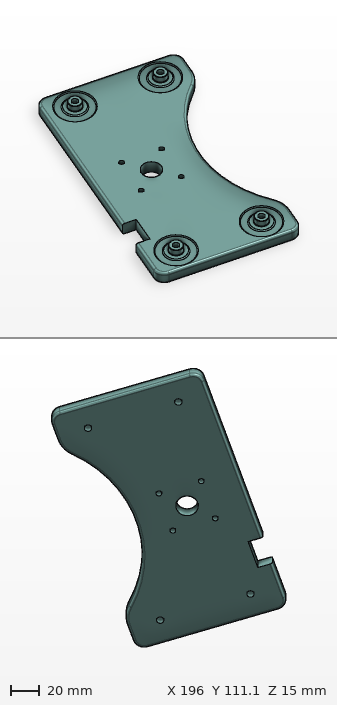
import cadquery as cq
import math

length = 196.0
width = 111.1
thickness = 10.0
corner_radius = 8.0
edge_radius = 2.0

shoulder_radius = 20.0
sweep_depth = 31.4
shoulder_start_x = 77.0

notch_left = 40.2
notch_width = 21.5
notch_depth = 10.8

bore_y = 42.1
bore_diameter = 15.5
screw_diameter = 4.0
screw_spacing = 31.0

post_spacing_x = 160.0
post_spacing_y = 66.0
front_post_y = 22.1
post_height = 5.0
post_foot_diameter = 11.2
post_foot_height = 0.4
post_diameter = 10.5
post_top_diameter = 10.0
post_hole_diameter = 5.0

groove_depth = 0.8
groove_outer_radius = 15.5
groove_outer_floor_radius = 14.7
groove_inner_radius = 8.6
groove_inner_floor_radius = 9.6

post_points = [
    (side * post_spacing_x / 2, y)
    for side in (-1, 1)
    for y in (front_post_y, front_post_y + post_spacing_y)
]


def make_plate():
    half = length / 2
    centre_distance = (shoulder_start_x**2 + sweep_depth**2) / (2 * sweep_depth)
    lean = math.asin(shoulder_start_x / centre_distance)
    shoulder_centre_y = width - shoulder_radius

    def shoulder_point(side, angle):
        x = shoulder_start_x - shoulder_radius * math.sin(angle)
        y = shoulder_centre_y + shoulder_radius * math.cos(angle)
        return side * x, y

    outline = (
        cq.Workplane("XY")
        .moveTo(-half, 0)
        .lineTo(half, 0)
        .lineTo(half, width)
        .lineTo(shoulder_start_x, width)
        .threePointArc(shoulder_point(1, lean / 2), shoulder_point(1, lean))
        .threePointArc((0, width - sweep_depth), shoulder_point(-1, lean))
        .threePointArc(shoulder_point(-1, lean / 2), (-shoulder_start_x, width))
        .lineTo(-half, width)
        .close()
    )
    plate = outline.extrude(thickness)
    corners = cq.selectors.BoxSelector((-half - 2, -2, -2), (-half + 2, width + 2, thickness + 2))
    corners += cq.selectors.BoxSelector((half - 2, -2, -2), (half + 2, width + 2, thickness + 2))
    plate = plate.edges("|Z").edges(corners).fillet(corner_radius)
    return plate.faces("<Z or >Z").edges().fillet(edge_radius)


def make_notch():
    return cq.Workplane("XY").box(notch_width, notch_depth, thickness, centered=False).translate(
        (notch_left, 0, 0)
    )


def make_groove():
    section = [
        (groove_inner_radius, thickness),
        (groove_inner_floor_radius, thickness - groove_depth),
        (groove_outer_floor_radius, thickness - groove_depth),
        (groove_outer_radius, thickness),
    ]
    return cq.Workplane("XZ").polyline(section).close().revolve(360, (0, 0, 0), (0, 1, 0))


def make_post():
    foot_radius = post_foot_diameter / 2
    post_radius = post_diameter / 2
    top_chamfer = (post_diameter - post_top_diameter) / 2
    section = [
        (0, 0),
        (foot_radius, 0),
        (foot_radius, thickness),
        (post_radius, thickness + post_foot_height),
        (post_radius, thickness + post_height - top_chamfer),
        (post_top_diameter / 2, thickness + post_height),
        (0, thickness + post_height),
    ]
    return cq.Workplane("XZ").polyline(section).close().revolve(360, (0, 0, 0), (0, 1, 0))


def make_holes(points, diameter):
    return cq.Workplane("XY").pushPoints(points).circle(diameter / 2).extrude(thickness + post_height)


result = make_plate().cut(make_notch())
for x, y in post_points:
    result = result.cut(make_groove().translate((x, y, 0)))
    result = result.union(make_post().translate((x, y, 0)))

screw_offset = screw_spacing / 2
screw_points = [
    (dx, bore_y + dy)
    for dx in (-screw_offset, screw_offset)
    for dy in (-screw_offset, screw_offset)
]
result = result.cut(make_holes(post_points, post_hole_diameter))
result = result.cut(make_holes(screw_points, screw_diameter))
result = result.cut(make_holes([(0, bore_y)], bore_diameter))